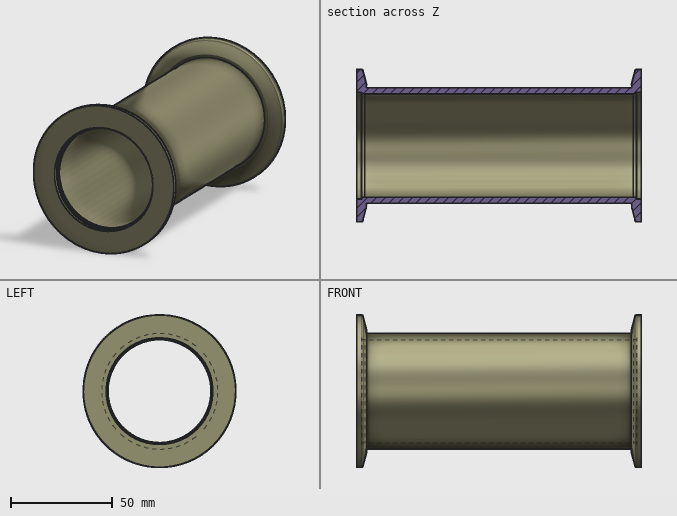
import cadquery as cq
import math

length = 140.0
flange_diameter = 75.0
tube_outer_diameter = 57.0
tube_bore_diameter = 50.6

rim_thickness = 3.0
cone_small_diameter = 60.0
cone_angle = 15.0
rim_fillet_radius = 1.0

recess_diameter = 52.4
recess_depth = 2.4
floor_step_diameter = 51.7
floor_step_depth = 2.6
entry_bore_diameter = 50.8
entry_bore_depth = 4.0

flange_radius = flange_diameter / 2
tube_radius = tube_outer_diameter / 2
cone_small_radius = cone_small_diameter / 2
cone_length = (flange_radius - cone_small_radius) * math.tan(math.radians(cone_angle))
flange_thickness = rim_thickness + cone_length


def make_tube():
    """Solid cylinder running the full length, centred on the origin."""
    return cq.Workplane("YZ").circle(tube_radius).extrude(length / 2, both=True)


def make_flange():
    """Rim and cone of the flange on the -X end, with the rim corner rounded."""
    face_x = -length / 2
    rim_x = face_x + rim_thickness
    profile = (
        cq.Workplane("XY")
        .moveTo(face_x, 0)
        .lineTo(face_x, flange_radius)
        .lineTo(rim_x, flange_radius)
        .lineTo(face_x + flange_thickness, cone_small_radius)
        .lineTo(face_x + flange_thickness, 0)
        .close()
    )
    flange = profile.revolve(360, (0, 0, 0), (1, 0, 0))
    rim_corner = cq.selectors.RadiusNthSelector(-1)
    rim_edges = flange.edges("%CIRCLE").edges(rim_corner).edges(">X")
    return rim_edges.fillet(rim_fillet_radius)


def make_entry():
    """Cutter for the three coaxial steps sunk into the -X face."""
    face = cq.Workplane("YZ", origin=(-length / 2, 0, 0))
    entry = face.circle(recess_diameter / 2).extrude(recess_depth)
    entry = entry.union(face.circle(floor_step_diameter / 2).extrude(floor_step_depth))
    return entry.union(face.circle(entry_bore_diameter / 2).extrude(entry_bore_depth))


def at_both_ends(body):
    """The body together with its mirror image at the +X end."""
    return body.union(body.mirror("YZ"))


bore = cq.Workplane("YZ").circle(tube_bore_diameter / 2).extrude(length / 2, both=True)

result = make_tube().union(at_both_ends(make_flange()))
result = result.cut(bore).cut(at_both_ends(make_entry()))